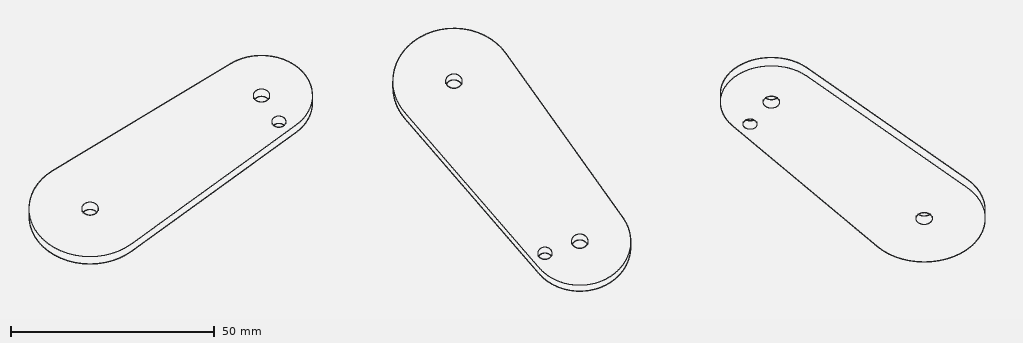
import cadquery as cq
import math

length = 82.45
thickness = 3.0
large_radius = 15.0
small_radius = 12.5

pivot_diameter = 4.0
side_hole_diameter = 3.5
side_hole_offset_x = 9.0
side_hole_offset_y = -2.0

center_distance = length - large_radius - small_radius
tangent_angle = math.asin((large_radius - small_radius) / center_distance)


def tangent_point(radius, center_y):
    """Point where the right-hand straight edge touches an end arc."""
    return (radius * math.cos(tangent_angle), center_y + radius * math.sin(tangent_angle))


def plate():
    """Tapered link outline: two end arcs joined by their outer tangents."""
    large_x, large_y = tangent_point(large_radius, 0)
    small_x, small_y = tangent_point(small_radius, center_distance)
    return (
        cq.Workplane("XY")
        .moveTo(large_x, large_y)
        .lineTo(small_x, small_y)
        .threePointArc((0, center_distance + small_radius), (-small_x, small_y))
        .lineTo(-large_x, large_y)
        .threePointArc((0, -large_radius), (large_x, large_y))
        .close()
        .extrude(thickness)
    )


def through_holes(diameter, centers):
    """Cylinders that cut through the full plate thickness."""
    return cq.Workplane("XY").pushPoints(centers).circle(diameter / 2).extrude(thickness)


pivot_centers = [(0, 0), (0, center_distance)]
side_hole_center = (side_hole_offset_x, center_distance + side_hole_offset_y)

result = (
    plate()
    .cut(through_holes(pivot_diameter, pivot_centers))
    .cut(through_holes(side_hole_diameter, [side_hole_center]))
)